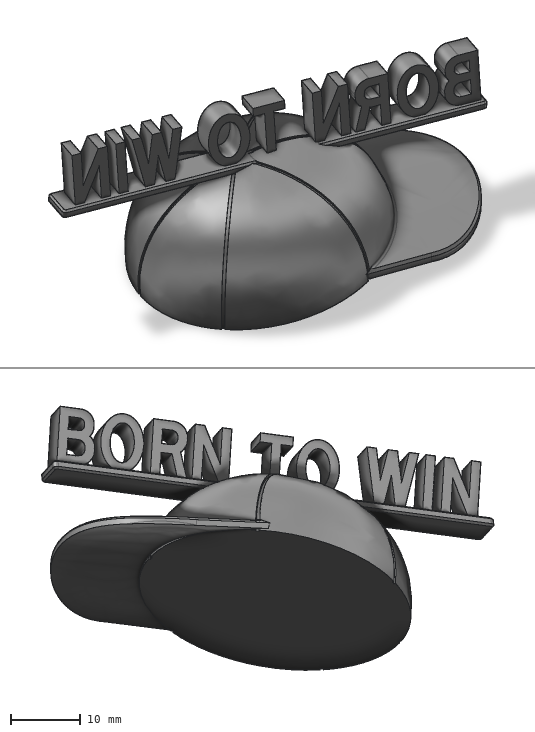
import cadquery as cq
import math


CROWN_WIDTH = 36.95
CROWN_LENGTH = 39.9
CROWN_HEIGHT = 17.3
CROWN_TILT = 7.0
CROWN_FULLNESS = 2.15
CROWN_PROFILE_STEPS = 12

SEAM_WIDTH = 0.5
SEAM_DEPTH = 0.25
SEAM_CENTRE_Y = -4.1
SEAM_ANGLES = [38.1, 90, 138.6, 210.3, 270, 325.3]

VISOR_FRONT_Y = 33.75
VISOR_ROUND_WIDTH = 31.6
VISOR_ROUND_DEPTH = 14.3
VISOR_BACK_WIDTH = 33.4
VISOR_BACK_Y = 8.0
VISOR_THICKNESS = 1.3
VISOR_FRONT_Z = 2.8
VISOR_FRONT_RADIUS = 34.0
VISOR_BACK_RADIUS = 54.0
VISOR_SLOPE = 5.9
VISOR_EDGE_CHAMFER = 0.35
JOINT_FILLET = 0.5
JOINT_REACH = 0.4

BAR_LENGTH = 69.78
BAR_WIDTH = 4.93
BAR_THICKNESS = 1.4
BAR_TILT = 5.0
BAR_FRONT_Y = 35.95
BAR_FRONT_Z = 13.83
BAR_CORNER_FILLET = 0.6
BAR_EDGE_CHAMFER = 0.3

LETTER_HEIGHT = 9.25
LETTER_DEPTH = 3.3
STROKE = 1.5
LETTER_SLANT = 8.3
ROUND_OVERSHOOT = 0.15
NARROW_WIDTH = 5.8
ROUND_WIDTH = 6.8
TEE_WIDTH = 5.2
WIDE_WIDTH = 8.2
LOOP_STEP = 0.3
LOOP_ROUNDING = 0.9
FOOT_POSITION = 0.25


def crown_solid(inset):
    """Dome moved inwards by inset, in its final tilted position."""
    radius = CROWN_WIDTH / 2
    power = 2 / CROWN_FULLNESS
    profile = []
    for step in range(CROWN_PROFILE_STEPS + 1):
        angle = math.pi / 2 * step / CROWN_PROFILE_STEPS
        across = (radius - inset) * max(math.cos(angle), 0) ** power
        up = (CROWN_HEIGHT - inset) * math.sin(angle) ** power
        profile.append((across, up))
    profile[-1] = (0, CROWN_HEIGHT - inset)
    round_dome = (
        cq.Workplane("XZ")
        .moveTo(*profile[0])
        .spline(profile[1:], tangents=[(0, 1), (-1, 0)], includeCurrent=True)
        .lineTo(0, 0)
        .close()
        .revolve(360, (0, 0), (0, 1))
    )
    stretch = cq.Matrix([
        [1, 0, 0, 0],
        [0, CROWN_LENGTH / CROWN_WIDTH, 0, 0],
        [0, 0, 1, 0],
        [0, 0, 0, 1],
    ])
    dome = cq.Workplane(round_dome.val().transformGeometry(stretch))
    return dome.rotate((0, 0, 0), (1, 0, 0), CROWN_TILT)


def seam_blade(angle):
    """Upright wall from the seam centre outwards, one seam wide."""
    reach = CROWN_LENGTH
    return (
        cq.Workplane("XY")
        .box(reach, SEAM_WIDTH, 2 * reach, centered=(False, True, True))
        .rotate((0, 0, 0), (0, 0, 1), angle)
        .translate((0, SEAM_CENTRE_Y, 0))
    )


def arch_wire(y, top, radius):
    """Cross-section of the arched visor sheet, square to Y and wider than the visor."""
    half_span = CROWN_WIDTH / 2
    drop = radius - math.sqrt(radius**2 - half_span**2)
    low = top - VISOR_THICKNESS
    section = (
        cq.Workplane("XZ", origin=(0, y, 0))
        .moveTo(-half_span, top - drop)
        .threePointArc((0, top), (half_span, top - drop))
        .lineTo(half_span, low - drop)
        .threePointArc((0, low), (-half_span, low - drop))
        .close()
    )
    return section.val()


def visor_outline():
    """Tall block with the visor's shape as seen from above."""
    half_round = VISOR_ROUND_WIDTH / 2
    half_back = VISOR_BACK_WIDTH / 2
    return (
        cq.Workplane("XY")
        .moveTo(half_round, VISOR_FRONT_Y - VISOR_ROUND_DEPTH)
        .ellipseArc(half_round, VISOR_ROUND_DEPTH, 0, 180, startAtCurrent=True)
        .lineTo(-half_back, VISOR_BACK_Y)
        .lineTo(half_back, VISOR_BACK_Y)
        .close()
        .extrude(CROWN_HEIGHT, both=True)
    )


def visor():
    run = VISOR_FRONT_Y - VISOR_BACK_Y
    back_z = VISOR_FRONT_Z + run * math.tan(math.radians(VISOR_SLOPE))
    front_arch = arch_wire(VISOR_FRONT_Y, VISOR_FRONT_Z, VISOR_FRONT_RADIUS)
    back_arch = arch_wire(VISOR_BACK_Y, back_z, VISOR_BACK_RADIUS)
    sheet = cq.Workplane(cq.Solid.makeLoft([front_arch, back_arch], True))
    above_visor = (0, VISOR_FRONT_Y - VISOR_ROUND_DEPTH, CROWN_HEIGHT)
    return (
        sheet.intersect(visor_outline())
        .faces(cq.NearestToPointSelector(above_visor))
        .edges("not #Y")
        .chamfer(VISOR_EDGE_CHAMFER)
    )


def grooved_cap():
    """Crown and visor in one, blended together, with the seams cut into the crown."""
    crown = crown_solid(0)
    skin = crown.cut(crown_solid(SEAM_DEPTH))
    near_joint = (0, CROWN_LENGTH * JOINT_REACH, VISOR_FRONT_Z + VISOR_THICKNESS)
    body = (
        crown.union(visor())
        .edges(cq.NearestToPointSelector(near_joint))
        .fillet(JOINT_FILLET)
    )
    for angle in SEAM_ANGLES:
        body = body.cut(skin.intersect(seam_blade(angle)))
    return body


def bar_plane():
    """Local x runs back along the bar's top, local y rises from it, z is -X."""
    tilt = math.radians(BAR_TILT)
    return cq.Plane(
        origin=(0, BAR_FRONT_Y, BAR_FRONT_Z),
        xDir=(0, -math.cos(tilt), math.sin(tilt)),
        normal=(-1, 0, 0),
    )


def slogan_bar():
    bar = (
        cq.Workplane("XY")
        .box(BAR_LENGTH, BAR_THICKNESS, BAR_WIDTH, centered=(False, False, True))
        .translate((0, -BAR_THICKNESS, 0))
        .edges("|Y")
        .fillet(BAR_CORNER_FILLET)
        .faces("<Y or >Y")
        .edges()
        .chamfer(BAR_EDGE_CHAMFER)
    )
    return cq.Workplane(bar.val().moved(cq.Location(bar_plane())))


def prism(points):
    return cq.Workplane("XY").polyline(points).close().extrude(LETTER_DEPTH)


def block(x, y, width, height):
    return prism([(x, y), (x + width, y), (x + width, y + height), (x, y + height)])


def d_shape(x, y, width, height):
    """Block with a straight left side and a fully rounded right side."""
    corner = min(width, height / 2) * LOOP_ROUNDING
    return block(x, y, width, height).edges("|Z and >X").fillet(corner)


def bowl(y, height, width):
    """Closed loop of one stroke, as in B and R."""
    hole = d_shape(STROKE, y + STROKE, width - 2 * STROKE, height - 2 * STROKE)
    return d_shape(0, y, width, height).cut(hole)


def stem(x):
    return block(x, 0, STROKE, LETTER_HEIGHT)


def slant(bottom_x, top_x):
    """Slanted stroke of full letter height."""
    return prism([
        (bottom_x, 0),
        (bottom_x + STROKE, 0),
        (top_x + STROKE, LETTER_HEIGHT),
        (top_x, LETTER_HEIGHT),
    ])


def letter_b():
    lower_height = (LETTER_HEIGHT + STROKE) / 2 + LOOP_STEP
    upper_height = (LETTER_HEIGHT + STROKE) / 2 - LOOP_STEP
    lower = bowl(0, lower_height, NARROW_WIDTH)
    upper = bowl(LETTER_HEIGHT - upper_height, upper_height, NARROW_WIDTH - LOOP_STEP)
    return lower.union(upper)


def letter_o():
    half_width = ROUND_WIDTH / 2
    half_height = LETTER_HEIGHT / 2 + ROUND_OVERSHOOT
    return (
        cq.Workplane("XY")
        .center(half_width, LETTER_HEIGHT / 2)
        .ellipse(half_width, half_height)
        .ellipse(half_width - STROKE, half_height - STROKE)
        .extrude(LETTER_DEPTH)
    )


def letter_r():
    loop_height = (LETTER_HEIGHT + STROKE) / 2
    loop = bowl(LETTER_HEIGHT - loop_height, loop_height, NARROW_WIDTH - LOOP_STEP)
    leg_top = LETTER_HEIGHT - loop_height + STROKE
    leg = prism([
        (NARROW_WIDTH - STROKE, 0),
        (NARROW_WIDTH, 0),
        (NARROW_WIDTH - STROKE, leg_top),
        (NARROW_WIDTH - 2 * STROKE, leg_top),
    ])
    return stem(0).union(loop).union(leg)


def letter_n():
    last = NARROW_WIDTH - STROKE
    return stem(0).union(slant(last, 0)).union(stem(last))


def letter_t():
    top_bar = block(0, LETTER_HEIGHT - STROKE, TEE_WIDTH, STROKE)
    return top_bar.union(stem((TEE_WIDTH - STROKE) / 2))


def letter_w():
    last = WIDE_WIDTH - STROKE
    middle = last / 2
    foot = last * FOOT_POSITION
    strokes = slant(foot, 0)
    strokes = strokes.union(slant(foot, middle))
    strokes = strokes.union(slant(last - foot, middle))
    return strokes.union(slant(last - foot, last))


def letter_i():
    return stem(0)


def placed_letter(upright, distance):
    """Slant an upright letter and stand it on the bar, distance from the front end."""
    lean = math.tan(math.radians(LETTER_SLANT))
    slant_and_shift = cq.Matrix([
        [1, lean, 0, distance],
        [0, 1, 0, 0],
        [0, 0, 1, -LETTER_DEPTH / 2],
        [0, 0, 0, 1],
    ])
    slanted = upright.val().transformGeometry(slant_and_shift)
    return cq.Workplane(slanted.moved(cq.Location(bar_plane())))


LETTERS = [
    (letter_b, 0.8),
    (letter_o, 7.5),
    (letter_r, 15.6),
    (letter_n, 22.2),
    (letter_t, 32.55),
    (letter_o, 38.5),
    (letter_w, 49.4),
    (letter_i, 58.75),
    (letter_n, 61.65),
]

cap = grooved_cap().union(slogan_bar())
for make_letter, distance in LETTERS:
    cap = cap.union(placed_letter(make_letter(), distance))

result = cap